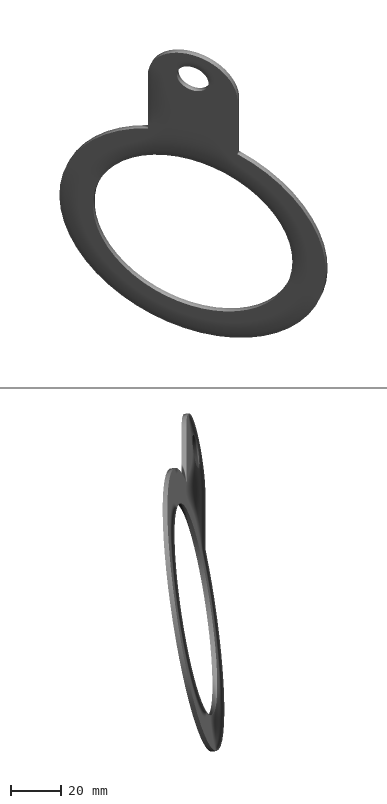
import cadquery as cq

total_height = 161.0
thickness = 2.0
ring_outer_diameter = 114.0
ring_inner_diameter = 85.3
tab_width = 38.3
eye_diameter = 13.5
eye_below_top = 13.8

tab_top = total_height - ring_outer_diameter / 2
tab_radius = tab_width / 2
tab_arc_centre = tab_top - tab_radius
eye_height = tab_top - eye_below_top


def disc(diameter, height):
    """Plate-thick disc facing Y, centred on the plate's mid-plane."""
    return (
        cq.Workplane("XZ")
        .center(0, height)
        .circle(diameter / 2)
        .extrude(thickness / 2, both=True)
    )


def hanging_tab():
    """Round-topped tab that starts at the ring centre and overlaps the ring."""
    return (
        cq.Workplane("XZ")
        .moveTo(-tab_radius, 0)
        .lineTo(tab_radius, 0)
        .lineTo(tab_radius, tab_arc_centre)
        .threePointArc((0, tab_top), (-tab_radius, tab_arc_centre))
        .close()
        .extrude(thickness / 2, both=True)
    )


outline = disc(ring_outer_diameter, 0).union(hanging_tab())
ring_opening = disc(ring_inner_diameter, 0)
eye = disc(eye_diameter, eye_height)

result = outline.cut(ring_opening).cut(eye)